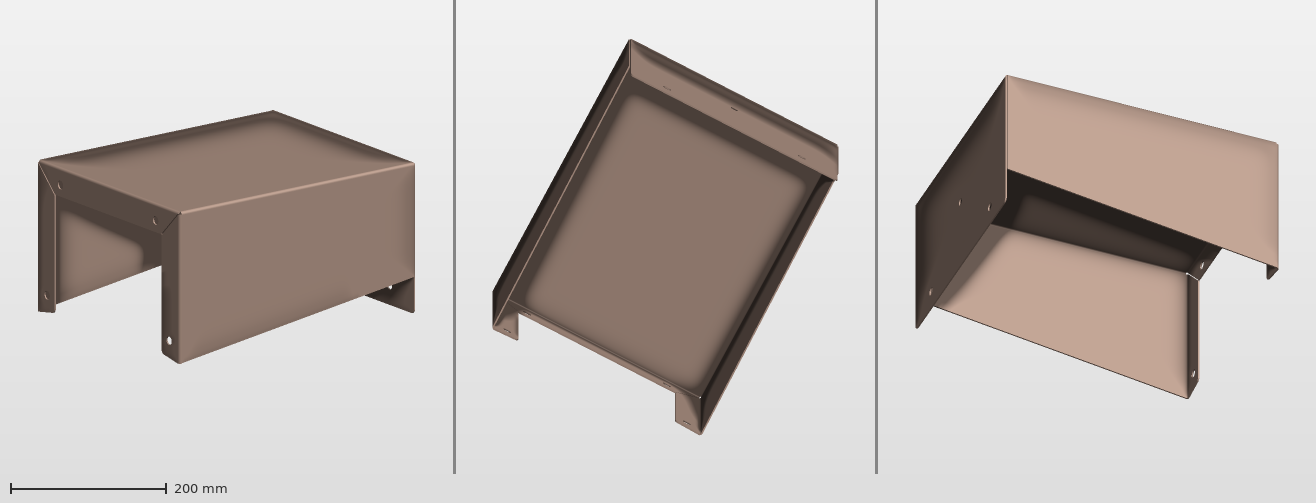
import cadquery as cq
import math

width = 304.8
length = 381.0
height = 203.0

sheet = 2.0
bend_radius = 4.0
rear_gap = 0.5
rear_inset = sheet + rear_gap
rear_corner_radius = 5.7

side_rise = 50.5

flange_width = 38.0
flange_end_angle = 10.0
flange_corner_radius = 5.7
miter_gap = 1.5

hole_diameter = 11.5
center_hole_diameter = 10.3
upper_hole_x = 101.7
upper_hole_drop = 22.5
lower_hole_z = 26.3
flange_hole_x = 130.3
rear_hole_x = 98.0
center_hole_z = 102.0


def block(x_size, y_start, y_end, z_start, z_end):
    """Box centred on X between the given Y and Z limits."""
    return (
        cq.Workplane("XY")
        .box(x_size, y_end - y_start, z_end - z_start, centered=(True, False, False))
        .translate((0, y_start, z_start))
    )


def bent_sheet(outer, inner, bend_edges):
    """Sheet between two blocks, with concentric bends along the selected edges."""
    outer = outer.edges(bend_edges).fillet(bend_radius)
    inner = inner.edges(bend_edges).fillet(bend_radius - sheet)
    return outer.cut(inner)


def front_outline(points):
    """Closed outline across the front, extruded through the front bend depth."""
    return cq.Workplane("XZ").polyline(points).close().extrude(-bend_radius)


def holes(x_places, z, diameter, y_start):
    """Holes through the sheet whose outer or inner face lies at y_start."""
    return (
        cq.Workplane("XZ", origin=(0, y_start, 0))
        .pushPoints([(x, z) for x in x_places])
        .circle(diameter / 2)
        .extrude(-sheet)
    )


def make_top_and_sides():
    """Top folded down into two side walls with a sloping lower edge."""
    y_end = length - rear_inset
    shell = bent_sheet(
        block(width, bend_radius, y_end, 0, height),
        block(width - 2 * sheet, bend_radius, y_end, 0, height - sheet),
        "|Y and >Z",
    )
    below_slope = (
        cq.Workplane("YZ")
        .polyline([(0, 0), (length, 0), (length, side_rise)])
        .close()
        .extrude(width / 2, both=True)
    )
    return shell.cut(below_slope)


def make_front_and_rear():
    """Top folded down into the rear panel and the upper front flange."""
    rear_width = width - 2 * rear_inset
    shell = bent_sheet(
        block(rear_width, 0, length, 0, height),
        block(rear_width, sheet, length - sheet, 0, height - sheet),
        "|X and >Z",
    )
    middle = length / 2
    rear = shell.intersect(block(width, middle, length, 0, height))
    rear = rear.edges("|Y and <Z").fillet(rear_corner_radius)
    front = shell.intersect(
        block(width - 2 * bend_radius, 0, middle, height - flange_width, height)
    )
    top_limit = block(width - 2 * bend_radius, 0, length - bend_radius, 0, height)
    rear_limit = block(width, length - bend_radius, length, 0, height)
    rear = rear.intersect(top_limit.union(rear_limit))
    return front.union(rear)


def make_side_flanges():
    """Side walls folded inward at the front, with slanted and rounded lower ends."""
    z_end = height - bend_radius
    flanges = bent_sheet(
        block(width, 0, 2 * bend_radius, 0, z_end),
        block(width - 2 * sheet, sheet, 2 * bend_radius, 0, z_end),
        "|Z and <Y",
    ).intersect(block(width, 0, bend_radius, 0, z_end))

    bend_end = width / 2 - bend_radius
    inner_edge = width / 2 - flange_width
    end_rise = (bend_end - inner_edge) * math.tan(math.radians(flange_end_angle))
    right = front_outline([
        (width / 2, 0),
        (bend_end, 0),
        (inner_edge, end_rise),
        (inner_edge, height),
        (width / 2, height),
    ])
    right = right.edges("|Y").edges(
        cq.selectors.NearestToPointSelector((inner_edge, bend_radius / 2, end_rise))
    ).fillet(flange_corner_radius)
    return flanges.intersect(right.union(right.mirror("YZ")))


def make_miter_slots():
    """Diagonal gaps between the upper flange and the side flanges."""
    half_gap = miter_gap / math.sqrt(2)
    slots = cq.Workplane("XY")
    for side in (-1, 1):
        corner_x = side * width / 2
        inner_x = side * (width / 2 - flange_width)
        inner_z = height - flange_width
        slots = slots.union(front_outline([
            (corner_x, height - half_gap),
            (corner_x, height + half_gap),
            (inner_x, inner_z + half_gap),
            (inner_x, inner_z - half_gap),
        ]))
    return slots


def make_upper_flange_limit():
    """Trapezoid between the miter lines, with the rest of the hood behind it."""
    inner_x = width / 2 - flange_width
    trapezoid = front_outline([
        (-width / 2, height),
        (width / 2, height),
        (inner_x, height - flange_width),
        (-inner_x, height - flange_width),
    ])
    return trapezoid.union(block(width, bend_radius, length, 0, height))


def make_side_flange_limit():
    """Areas beside the miter lines."""
    inner_x = width / 2 - flange_width
    inner_z = height - flange_width
    right = front_outline([
        (inner_x, 0),
        (width / 2, 0),
        (width / 2, height),
        (inner_x, inner_z),
    ])
    return right.union(right.mirror("YZ"))


def make_holes():
    """Screw holes in the front flanges and the rear panel."""
    rear_y = length - sheet
    cutters = holes((-upper_hole_x, upper_hole_x), height - upper_hole_drop, hole_diameter, 0)
    cutters = cutters.union(holes((-flange_hole_x, flange_hole_x), lower_hole_z, hole_diameter, 0))
    cutters = cutters.union(holes((-rear_hole_x, rear_hole_x), lower_hole_z, hole_diameter, rear_y))
    return cutters.union(holes((0,), center_hole_z, center_hole_diameter, rear_y))


top_and_sides = make_top_and_sides()
front_and_rear = make_front_and_rear().intersect(make_upper_flange_limit())
side_flanges = make_side_flanges().intersect(make_side_flange_limit())

result = top_and_sides.union(front_and_rear).union(side_flanges)
result = result.cut(make_miter_slots()).cut(make_holes())